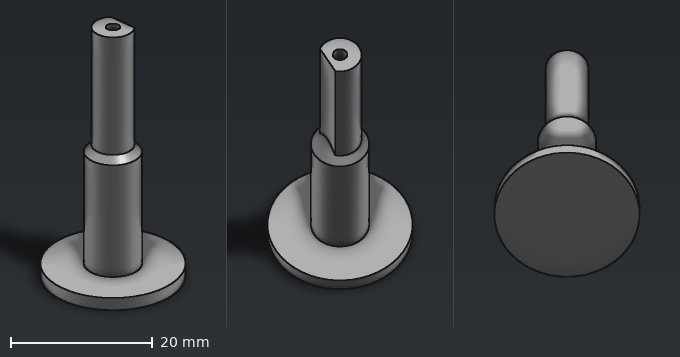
import cadquery as cq

total_height = 40.0
flange_diameter = 20.5
flange_thickness = 2.0
body_diameter = 8.25
body_top = 20.0
shaft_diameter = 6.1
flat_offset = 2.0
bore_diameter = 2.0
bore_depth = 10.0

body_radius = body_diameter / 2
shaft_radius = shaft_diameter / 2
shaft_length = total_height - body_top


def cylinder(diameter, bottom, height):
    """Upright cylinder on the Z axis, starting at the given height."""
    return cq.Workplane("XY").workplane(offset=bottom).circle(diameter / 2).extrude(height)


def shoulder_cone():
    """45 degree cone on top of the body; it rises inside the shaft up to the flat."""
    cone_height = body_radius - flat_offset
    profile = (
        cq.Workplane("XZ")
        .moveTo(0, body_top)
        .lineTo(body_radius, body_top)
        .lineTo(flat_offset, body_top + cone_height)
        .lineTo(0, body_top + cone_height)
        .close()
    )
    return profile.revolve(360, (0, 0, 0), (0, 1, 0))


def flatted_shaft():
    """Round shaft cut to a D section by a flat on the +Y side."""
    keep_depth = shaft_radius + flat_offset
    keep_box = (
        cq.Workplane("XY")
        .workplane(offset=body_top)
        .center(0, flat_offset - keep_depth / 2)
        .rect(shaft_diameter, keep_depth)
        .extrude(shaft_length)
    )
    return cylinder(shaft_diameter, body_top, shaft_length).intersect(keep_box)


flange = cylinder(flange_diameter, 0, flange_thickness)
body = cylinder(body_diameter, flange_thickness, body_top - flange_thickness)
bore = cylinder(bore_diameter, total_height - bore_depth, bore_depth)

result = flange.union(body).union(shoulder_cone()).union(flatted_shaft()).cut(bore)